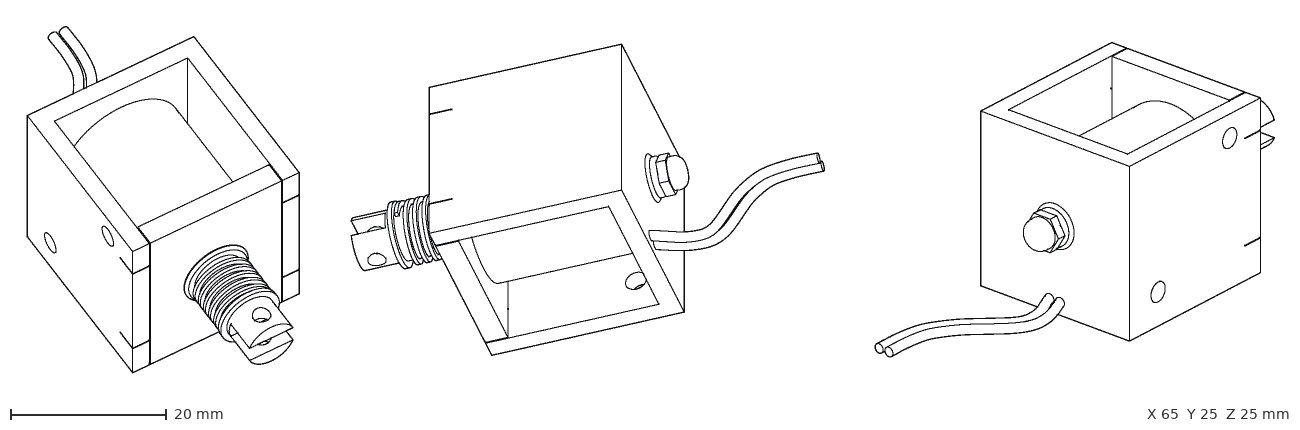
import cadquery as cq
import math


overall_length = 65.04

frame_length = 26.1
frame_size = 25.0
back_thickness = 2.6
arm_thickness = 2.5
arm_inner = frame_size / 2 - arm_thickness
mount_hole_dia = 2.83
mount_holes_xz = [(5.7, -7.6), (19.95, 9.05)]

slit_width = 0.1
slit_spacing = 15.35
slit_center_z = 0.2

plate_thickness = 3.1
plate_inner_x = frame_length - plate_thickness
plate_gap = 0.15
collar_dia = 9.6
collar_length = 0.5
collar_chamfer = 0.4

coil_dia = 17.69
coil_length = plate_inner_x - back_thickness

plunger_dia = 7.0
plunger_end_x = 39.8
ring_dia = 8.8
ring_start_x = frame_length + 7.85
ring_thickness = 0.6
fork_start_x = frame_length + 9.05
fork_slot_width = 2.5
fork_width = 6.6
pin_hole_dia = 2.36
pin_hole_x = frame_length + 11.3

spring_wire_width = 0.5
spring_wire_height = 0.7
spring_clearance = 0.05
spring_radius = plunger_dia / 2 + spring_clearance + spring_wire_height / 2
spring_pitch = 1.27
spring_turns = 5
spring_start_x = frame_length + 0.97

cone_base_dia = 6.4
washer_dia = 5.4
washer_start = 0.45
washer_end = 1.3
washer_round = 0.45
hex_flats = 4.8
hex_end = 2.6
cap_dia = 4.45
cap_end = 4.45
cap_round = 1.2

lead_dia = 1.36
lead_spacing = 1.65
lead_z = -10.62
lead_end_x = plunger_end_x - overall_length
lead_course = [
    (lead_end_x, 8.25, 0),
    (-21.5, 8.25, -4),
    (-16.5, 7.15, -29),
    (-12.4, 4.1, -46),
    (-9.2, 0.7, -45),
    (-6.1, -1.0, 0),
    (0.6, 1.15, 20),
]


def x_cylinder(dia, start, end):
    return cq.Workplane("YZ", origin=(start, 0, 0)).circle(dia / 2).extrude(end - start)


def x_box(start, end, y_size, z_size, z_center=0):
    box = cq.Workplane("XY").box(end - start, y_size, z_size)
    return box.translate(((start + end) / 2, 0, z_center))


def make_frame():
    frame = x_box(0, frame_length, frame_size, frame_size)
    frame = frame.cut(x_box(back_thickness, frame_length, 2 * arm_inner, frame_size))
    for side in (-1, 1):
        slit_z = slit_center_z + side * slit_spacing / 2
        frame = frame.cut(x_box(plate_inner_x, frame_length, frame_size, slit_width, slit_z))
    holes = (
        cq.Workplane("XZ", origin=(0, -arm_inner, 0))
        .pushPoints(mount_holes_xz)
        .circle(mount_hole_dia / 2)
        .extrude(arm_thickness)
    )
    return frame.cut(holes)


def make_end_plate():
    plate = x_box(plate_inner_x, frame_length, 2 * (arm_inner - plate_gap), frame_size)
    collar = x_cylinder(collar_dia, frame_length, frame_length + collar_length)
    plate = plate.union(collar.faces(">X").chamfer(collar_chamfer))
    return plate.cut(x_cylinder(plunger_dia, plate_inner_x, frame_length + collar_length))


def make_coil():
    coil = x_cylinder(coil_dia, back_thickness, back_thickness + coil_length)
    return coil.cut(x_cylinder(plunger_dia, back_thickness, back_thickness + coil_length))


def make_plunger():
    plunger = x_cylinder(plunger_dia, back_thickness, plunger_end_x)
    fork_flats = x_box(fork_start_x, plunger_end_x, plunger_dia, plunger_dia)
    fork_flats = fork_flats.cut(x_box(fork_start_x, plunger_end_x, fork_width, plunger_dia))
    plunger = plunger.cut(fork_flats)
    plunger = plunger.cut(x_box(fork_start_x, plunger_end_x, plunger_dia, fork_slot_width))
    pin_hole = cq.Workplane("XY").center(pin_hole_x, 0).circle(pin_hole_dia / 2)
    plunger = plunger.cut(pin_hole.extrude(plunger_dia, both=True))
    return plunger.union(x_cylinder(ring_dia, ring_start_x, ring_start_x + ring_thickness))


def make_spring():
    helix = cq.Wire.makeHelix(spring_pitch, spring_pitch * spring_turns, spring_radius, lefthand=True)
    path = helix.moved(cq.Location(cq.Plane.named("YZ", (spring_start_x, 0, 0))))
    section_plane = cq.Plane(path.startPoint(), xDir=(0, 1, 0), normal=path.tangentAt(0))
    section = cq.Workplane(section_plane).rect(spring_wire_height, spring_wire_width)
    return section.sweep(cq.Workplane(path), isFrenet=True)


def make_cap_nut():
    seat = (
        cq.Workplane("XY")
        .moveTo(0, 0)
        .lineTo(0, cone_base_dia / 2)
        .lineTo(-washer_start, washer_dia / 2)
        .lineTo(-washer_end + washer_round, washer_dia / 2)
        .radiusArc((-washer_end, washer_dia / 2 - washer_round), -washer_round)
        .lineTo(-washer_end, 0)
        .close()
        .revolve(360, (0, 0, 0), (1, 0, 0))
    )
    hex_corners_dia = hex_flats / math.cos(math.pi / 6)
    hexagon = cq.Workplane("YZ", origin=(-hex_end, 0, 0)).polygon(6, hex_corners_dia)
    dome = x_cylinder(cap_dia, -cap_end, -hex_end).faces("<X").edges().fillet(cap_round)
    return seat.union(hexagon.extrude(hex_end - washer_end)).union(dome)


def make_lead(offset):
    points = []
    tangents = []
    for x, y, heading in lead_course:
        along = (math.cos(math.radians(heading)), math.sin(math.radians(heading)))
        points.append((x + offset * along[1], y - offset * along[0]))
        tangents.append(along)
    path = cq.Workplane("XY", origin=(0, 0, lead_z)).spline(points, tangents=tangents)
    section = cq.Workplane("YZ", origin=(*points[0], lead_z)).circle(lead_dia / 2)
    return section.sweep(path).cut(x_box(0, frame_length, frame_size, frame_size))


frame = make_frame()
end_plate = make_end_plate()
coil = make_coil()
plunger = make_plunger()
spring = make_spring()
cap_nut = make_cap_nut()
leads = [make_lead(offset) for offset in (0, lead_spacing)]

result = cq.Compound.makeCompound(
    [body.val() for body in (frame, end_plate, coil, plunger, spring, cap_nut, *leads)]
)